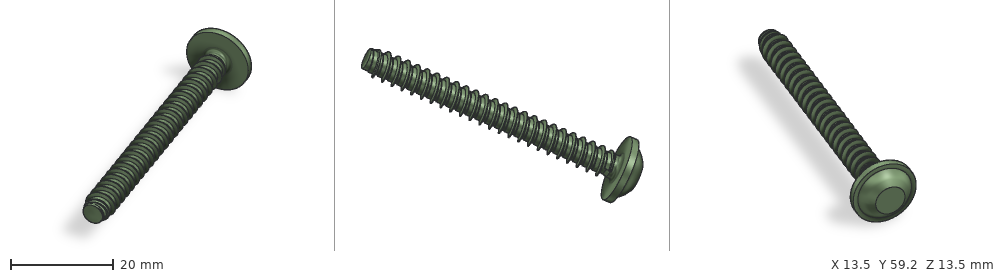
import cadquery as cq


overall_length = 59.2
screw_length = 55.0
head_height = overall_length - screw_length
flange_radius = 6.75
flange_thickness = 1.5
dome_base_radius = 5.75
dome_middle_radius = 4.9
dome_middle_height = 2.7
dome_top_radius = 3.15

shank_radius = 2.4
shank_length = 1.4
neck_fillet = 0.75
shank_cone_length = 1.55

crest_radius = 3.0
land_radius = 2.28
recess_radius = 2.15
thread_start = shank_length
thread_end = 54.35
thread_turns = 24.75
pitch = (thread_end - thread_start) / thread_turns
crest_half_width = 0.05
head_side_flank = 0.4
tip_side_flank = 0.35
land_end = 1.25
land_ramp_end = 1.55
embedding = 0.25
root_radius = recess_radius - embedding
thread_start_angle = -90
seam_angle = 45
run_in_radius = 2.5
run_in_length = 1.6
run_out_length = 3.85
run_out_clearance = 0.03

tip_hollow_depth = 0.2


def make_head_and_shank():
    """Head and smooth shank, revolved from one half outline; the shank ends in a cone inside the core."""
    outline = (
        cq.Workplane("XZ")
        .moveTo(0, -head_height)
        .lineTo(dome_top_radius, -head_height)
        .threePointArc((dome_middle_radius, -dome_middle_height), (dome_base_radius, -flange_thickness))
        .lineTo(flange_radius, -flange_thickness)
        .lineTo(flange_radius, 0)
        .lineTo(shank_radius + neck_fillet, 0)
        .radiusArc((shank_radius, neck_fillet), neck_fillet)
        .lineTo(shank_radius, shank_length)
        .lineTo(root_radius, shank_length + shank_cone_length)
        .lineTo(0, shank_length + shank_cone_length)
        .close()
    )
    return outline.revolve(360, (0, 0, 0), (0, 1, 0))


def make_ridge():
    """Crest and land swept along one helix over the whole threaded length."""
    profile = cq.Workplane("XZ").polyline([
        (root_radius, -head_side_flank),
        (crest_radius, -crest_half_width),
        (crest_radius, crest_half_width),
        (land_radius, tip_side_flank),
        (land_radius, land_end),
        (root_radius, land_ramp_end),
    ]).close()
    helix = cq.Wire.makeHelix(pitch, thread_end - thread_start, recess_radius)
    ridge = profile.sweep(cq.Workplane(helix), isFrenet=True)
    return ridge.rotate((0, 0, 0), (0, 0, 1), thread_start_angle).translate((0, 0, thread_start))


def make_core():
    """Plain cylinder under the thread, with its seam turned away from the start of the helix."""
    core = cq.Workplane("XY").workplane(offset=neck_fillet).circle(recess_radius).extrude(screw_length)
    return core.rotate((0, 0, 0), (0, 0, 1), seam_angle)


def make_envelope():
    """Solid of revolution that trims the rod: thread run-in, thread run-out and hollow tip face."""
    clear_radius = crest_radius + embedding
    outline = (
        cq.Workplane("XZ")
        .moveTo(0, neck_fillet)
        .lineTo(shank_radius, neck_fillet)
        .lineTo(run_in_radius, thread_start)
        .lineTo(clear_radius, thread_start + run_in_length)
        .lineTo(clear_radius, screw_length - run_out_length)
        .lineTo(recess_radius + run_out_clearance, screw_length)
        .lineTo(0, screw_length - tip_hollow_depth)
        .close()
    )
    return outline.revolve(360, (0, 0, 0), (0, 1, 0))


threaded_rod = make_core().union(make_ridge(), clean=False).intersect(make_envelope(), clean=False)
screw = make_head_and_shank().union(threaded_rod, clean=False)
result = screw.rotate((0, 0, 0), (1, 0, 0), 90)